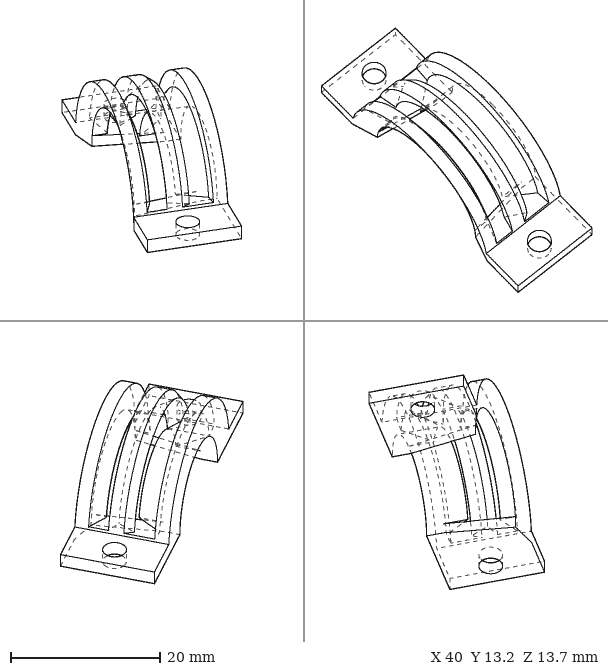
import cadquery as cq

length = 40.0
width = 13.2
outer_radius = 13.7
half_width = width / 2

lip_depth = 1.2
lip_radius = 9.95
throat_depth = 10.8
throat_radius = 8.5

tab_thickness = 1.95
hole_diameter = 3.2
hole_spacing = 33.6

foot_angle = 10.0
front_rib_rim = 1.9
front_rib_heel = 3.3
front_rib_heel_radius = 10.15
middle_rib_front = 4.7
middle_rib_rim = 6.9
middle_rib_back = 8.1
middle_rib_back_radius = 12.8
middle_rib_tip = 5.4
middle_rib_tip_radius = 11.15
back_rib_front = 11.2
saddle_top_radius = 11.4
saddle_tip = 7.4
clearance = 0.8


def ring_sector(profile, start_angle=0.0):
    """Revolve a (radius, depth) profile over the Y axis, leaving start_angle free at each end."""
    points = [(radius, depth - half_width) for radius, depth in profile]
    sweep = 180 - 2 * start_angle
    sector = cq.Workplane("XY").polyline(points).close().revolve(sweep, (0, 0, 0), (0, -1, 0))
    return sector.rotate((0, 0, 0), (0, -1, 0), start_angle)


arch = ring_sector([
    (outer_radius, 0),
    (lip_radius, lip_depth),
    (throat_radius, throat_depth),
    (throat_radius, width),
    (outer_radius, width),
])

opening = ring_sector([
    (outer_radius + clearance, front_rib_rim),
    (outer_radius, front_rib_rim),
    (front_rib_heel_radius, front_rib_heel),
    (lip_radius, front_rib_heel),
    (lip_radius, lip_depth),
    (throat_radius - clearance, lip_depth),
    (throat_radius - clearance, back_rib_front),
    (outer_radius + clearance, back_rib_front),
], foot_angle)
arch = arch.cut(opening)

middle_rib = ring_sector([
    (outer_radius, middle_rib_front),
    (outer_radius, middle_rib_rim),
    (middle_rib_back_radius, middle_rib_back),
    (middle_rib_tip_radius, middle_rib_tip),
], foot_angle)

saddle = ring_sector([
    (saddle_top_radius, back_rib_front),
    (throat_radius, saddle_tip),
    (throat_radius, back_rib_front),
], foot_angle)

tab_inner_x = (lip_radius + outer_radius) / 2
tab_length = length / 2 - tab_inner_x
tab_centre_x = tab_inner_x + tab_length / 2
tabs = (
    cq.Workplane("XY")
    .pushPoints([(-tab_centre_x, 0), (tab_centre_x, 0)])
    .rect(tab_length, width)
    .extrude(tab_thickness)
)
tabs = tabs.cut(cq.Workplane("XZ").circle(outer_radius).extrude(half_width, both=True))

holes = (
    cq.Workplane("XY")
    .pushPoints([(-hole_spacing / 2, 0), (hole_spacing / 2, 0)])
    .circle(hole_diameter / 2)
    .extrude(tab_thickness)
)

result = arch
for part in (middle_rib, saddle, tabs):
    result = result.union(part, clean=False)
result = result.cut(holes, clean=False)